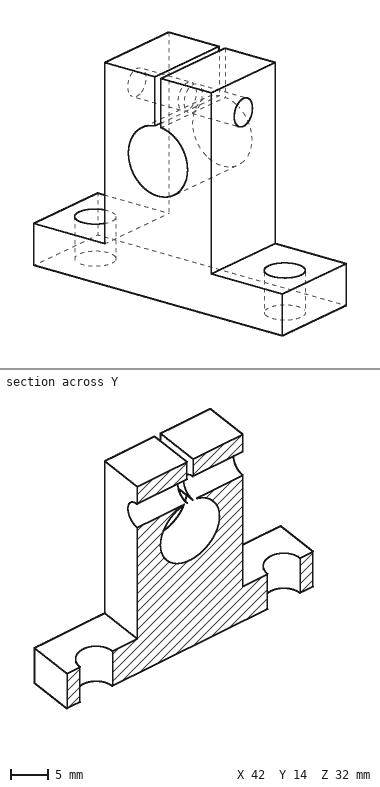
import cadquery as cq

base_length = 42.0
depth = 14.0
base_height = 6.0

block_width = 18.0
total_height = 32.0

bore_diameter = 10.0
bore_height = 20.0
slit_width = 1.0

mount_diameter = 5.5
mount_spacing = 32.0

screw_diameter = 4.0
screw_height = 27.0


def make_body():
    """Inverted T: base plate centred on the origin with the block standing on it."""
    base = cq.Workplane("XY").box(base_length, depth, base_height, centered=(True, True, False))
    block = cq.Workplane("XY").box(block_width, depth, total_height, centered=(True, True, False))
    return base.union(block)


def make_shaft_bore():
    """Bore running through the block along Y."""
    return (
        cq.Workplane("XZ")
        .center(0, bore_height)
        .circle(bore_diameter / 2)
        .extrude(depth, both=True)
    )


def make_slit():
    """Slit from the bore axis up through the top face."""
    slit_height = total_height - bore_height
    return (
        cq.Workplane("XY")
        .workplane(offset=bore_height)
        .rect(slit_width, depth)
        .extrude(slit_height)
    )


def make_mount_holes():
    """Vertical through holes, one in each foot of the base."""
    return (
        cq.Workplane("XY")
        .pushPoints([(side * mount_spacing / 2, 0) for side in (-1, 1)])
        .circle(mount_diameter / 2)
        .extrude(base_height)
    )


def make_screw_hole():
    """Through hole along X, crossing the slit above the bore."""
    return (
        cq.Workplane("YZ")
        .center(0, screw_height)
        .circle(screw_diameter / 2)
        .extrude(block_width, both=True)
    )


result = (
    make_body()
    .cut(make_shaft_bore())
    .cut(make_slit())
    .cut(make_mount_holes())
    .cut(make_screw_hole())
)